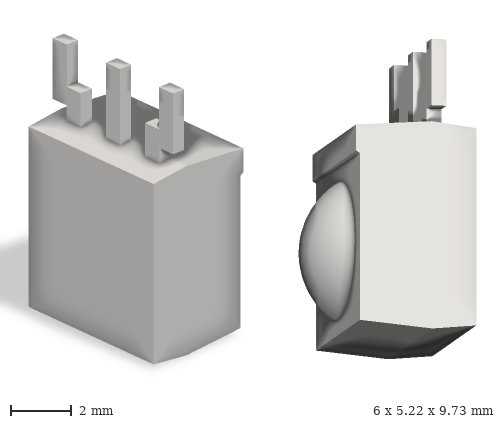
import cadquery as cq

width = 6.0
ridge_y = 1.5
ridge_top_z = 6.95
front_top_z = 6.78
front_bottom_z = 0.17
back_y = 3.96
back_bottom_z = 0.185

lip_y = 4.09
lip_top_z = 6.73
lip_bottom_z = 5.86
lip_root_z = 5.78

overall_depth = 5.22
lens_radius = 2.75
lens_z = 3.0

overall_height = 9.73
pin_width = 0.68
pin_thickness = 0.51
pin_front_y = ridge_y - pin_thickness
foot_offset = 1.89
tip_offset = 2.55
jog_bottom_z = 7.5
jog_top_z = jog_bottom_z + pin_width


def make_housing():
    """Return the housing body with its lens."""
    block = (
        cq.Workplane("YZ")
        .polyline([
            (0, front_bottom_z),
            (ridge_y, 0),
            (back_y, back_bottom_z),
            (back_y, lip_root_z),
            (lip_y, lip_bottom_z),
            (lip_y, lip_top_z),
            (ridge_y, ridge_top_z),
            (0, front_top_z),
        ])
        .close()
        .extrude(width / 2, both=True)
    )
    lens_y = overall_depth - lens_radius
    sphere = cq.Workplane("ZX", origin=(0, lens_y, lens_z)).sphere(lens_radius)
    beyond_back = (
        cq.Workplane("XY")
        .box(width, lens_radius, 2 * lens_radius, centered=(True, False, True))
        .translate((0, back_y, lens_z))
    )
    return block.union(sphere.intersect(beyond_back))


def pin_section(center_x, bottom_z, top_z):
    """Return one straight upright length of a pin."""
    return (
        cq.Workplane("XY")
        .box(pin_width, pin_thickness, top_z - bottom_z, centered=(True, False, False))
        .translate((center_x, pin_front_y, bottom_z))
    )


def make_pin(side):
    """Return a pin: side is -1 or 1 for a jogged outer pin, 0 for the straight one.

    Each pin has a flat end that stands on the ridge of the housing.
    """
    if side == 0:
        pin = pin_section(0, ridge_top_z, overall_height)
    else:
        foot = pin_section(side * foot_offset, ridge_top_z, jog_top_z)
        tip = pin_section(side * tip_offset, jog_bottom_z, overall_height)
        pin = foot.union(tip)
    return pin


housing = make_housing()
pins = [make_pin(side) for side in (-1, 0, 1)]

result = cq.Compound.makeCompound([housing.val(), *[pin.val() for pin in pins]])